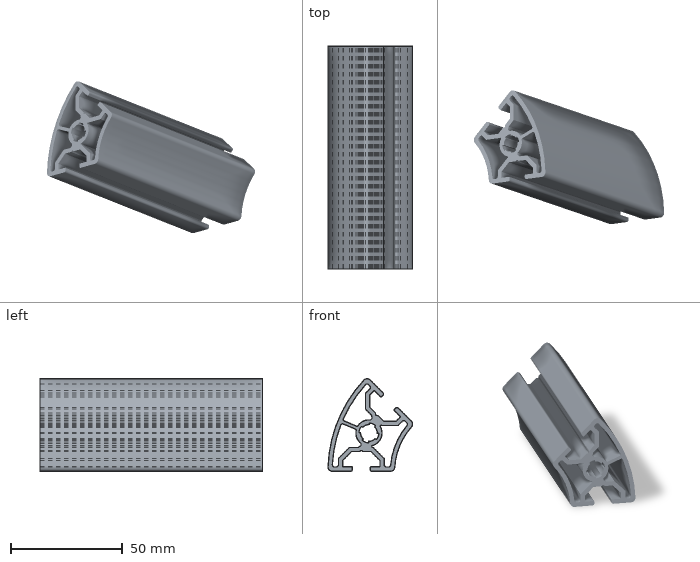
import cadquery as cq
import math


LENGTH = 100.0
SWEEP_ANGLE = 45.0
OUTER_RADIUS = 60.0
SECTION_WIDTH = 30.0
WALL = 2.0
CORNER_RADIUS = 2.0

SLOT_OPENING = 8.0
SLOT_WIDTH = 16.6
SLOT_FLOOR_WIDTH = 8.8
SLOT_DEPTH = 8.8
LIP_THICKNESS = 2.1
LIP_OUTER_RADIUS = 0.8
LIP_INNER_RADIUS = 0.4
GROOVE_WIDTH = 1.6
GROOVE_DEPTH = 0.6

HUB_RADIUS = 5.9
BORE_RADIUS = 3.7
LOBE_RADIUS = 4.4
LOBE_ANGLE = 40.0
LOBE_COUNT = 4
WEB_THICKNESS = 1.5

NECK_LEFT = -0.2
NECK_RIGHT = 4.9
NECK_SHOULDER_WIDTH = 1.2
NECK_SHOULDER_HEIGHT = 0.8

CAVITY_END_RADIUS = 1.0
WEB_ROOT_RADIUS = 0.8
HUB_ROOT_RADIUS = 0.4

HALF_ANGLE = SWEEP_ANGLE / 2
INNER_RADIUS = OUTER_RADIUS - SECTION_WIDTH
MID_RADIUS = (INNER_RADIUS + OUTER_RADIUS) / 2
SLOT_SHOULDER = SLOT_DEPTH - (SLOT_WIDTH - SLOT_FLOOR_WIDTH) / 2
MIRROR_NORMAL = cq.Vector(math.sin(math.radians(HALF_ANGLE)), 0, math.cos(math.radians(HALF_ANGLE)))


def polar(radius, angle):
    """XZ point at a radius, with the angle rising from the bottom face (the -X axis)."""
    return (-radius * math.cos(math.radians(angle)), radius * math.sin(math.radians(angle)))


HUB_CENTER = polar(MID_RADIUS, HALF_ANGLE)


def section():
    return cq.Workplane("XZ")


def prism(outline):
    """Extrude a closed outline over the full length."""
    return outline.extrude(-LENGTH)


def polygon(points):
    return prism(section().polyline(points).close())


def from_slot(points):
    """Shift points given from the slot middle to their place on the bottom face."""
    return [(x - MID_RADIUS, z) for x, z in points]


def mirrored_pair(body):
    """A body and its reflection across the symmetry line."""
    return (body, body.mirror(MIRROR_NORMAL, (0, 0, 0)))


def ring_segment(inner, inner_start, outer, outer_start):
    """Symmetric segment between two arcs, each starting at its own angle."""
    outline = (
        section()
        .moveTo(*polar(inner, inner_start))
        .lineTo(*polar(outer, outer_start))
        .threePointArc(polar(outer, HALF_ANGLE), polar(outer, SWEEP_ANGLE - outer_start))
        .lineTo(*polar(inner, SWEEP_ANGLE - inner_start))
        .threePointArc(polar(inner, HALF_ANGLE), polar(inner, inner_start))
        .close()
    )
    return prism(outline)


def envelope():
    """Solid ring segment with rounded long edges."""
    return ring_segment(INNER_RADIUS, 0, OUTER_RADIUS, 0).edges("|Y").fillet(CORNER_RADIUS)


def slot():
    """T-slot void of the bottom face, with rounded lips and a grooved floor."""
    half_width = SLOT_WIDTH / 2
    half_floor = SLOT_FLOOR_WIDTH / 2
    half_groove = GROOVE_WIDTH / 2
    chamber = polygon(from_slot([
        (-half_width, LIP_THICKNESS),
        (-half_width, SLOT_SHOULDER),
        (-half_floor, SLOT_DEPTH),
        (-half_groove, SLOT_DEPTH),
        (0, SLOT_DEPTH + GROOVE_DEPTH),
        (half_groove, SLOT_DEPTH),
        (half_floor, SLOT_DEPTH),
        (half_width, SLOT_SHOULDER),
        (half_width, LIP_THICKNESS),
    ]))
    opening = polygon(from_slot([
        (-half_width, 0),
        (-half_width, LIP_THICKNESS),
        (half_width, LIP_THICKNESS),
        (half_width, 0),
    ]))
    lip_length = half_width - SLOT_OPENING / 2
    for side, tip in ((-1, ">X"), (1, "<X")):
        lip_middle = side * (half_width - lip_length / 2) - MID_RADIUS
        lip = prism(section().center(lip_middle, LIP_THICKNESS / 2).rect(lip_length, LIP_THICKNESS))
        lip = lip.faces(tip).edges("|Y").edges("<Z").fillet(LIP_OUTER_RADIUS)
        lip = lip.faces(tip).edges("|Y").edges(">Z").fillet(LIP_INNER_RADIUS)
        opening = opening.cut(lip)
    return chamber.union(opening)


def slot_casing():
    """Solid block around the slot: the slot outline grown by the wall, plus the neck to the hub."""
    half_width = SLOT_WIDTH / 2 + WALL
    top = SLOT_DEPTH + WALL
    diagonal_growth = WALL * math.tan(math.radians(45 / 2))
    shoulder = SLOT_SHOULDER + diagonal_growth
    half_top = SLOT_FLOOR_WIDTH / 2 + diagonal_growth
    block = polygon(from_slot([
        (-half_width, 0),
        (-half_width, shoulder),
        (-half_top, top),
        (half_top, top),
        (half_width, shoulder),
        (half_width, 0),
    ]))
    hub_height = HUB_CENTER[1]
    neck = polygon(from_slot([
        (NECK_LEFT - NECK_SHOULDER_WIDTH, top),
        (NECK_LEFT, top + NECK_SHOULDER_HEIGHT),
        (NECK_LEFT, hub_height),
        (HUB_CENTER[0] + MID_RADIUS, hub_height),
        (NECK_RIGHT, top),
    ]))
    return block.union(neck)


def cavities():
    """Voids between the shell, the slot casings, the hub and the web."""
    inner = INNER_RADIUS + WALL
    outer = OUTER_RADIUS - WALL
    inner_start = math.degrees(math.asin(WALL / inner))
    outer_start = math.degrees(math.asin(WALL / outer))
    web_length = outer - MID_RADIUS + WALL
    web = (
        prism(section().center(-MID_RADIUS - web_length / 2, 0).rect(web_length, WEB_THICKNESS))
        .rotate((0, 0, 0), (0, 1, 0), HALF_ANGLE)
    )
    hub = prism(section().center(*HUB_CENTER).circle(HUB_RADIUS))
    voids = ring_segment(inner, inner_start, outer, outer_start).cut(web).cut(hub)
    for casing in mirrored_pair(slot_casing()):
        voids = voids.cut(casing)

    for flat_face in ("<Z", ">(1, 0, 1)"):
        voids = voids.faces(flat_face).edges("|Y").fillet(CAVITY_END_RADIUS)

    for radius, fillet in ((outer, WEB_ROOT_RADIUS), (MID_RADIUS + HUB_RADIUS, HUB_ROOT_RADIUS)):
        web_side = math.degrees(math.asin(WEB_THICKNESS / 2 / radius))
        for angle in (HALF_ANGLE - web_side, HALF_ANGLE + web_side):
            x, z = polar(radius, angle)
            root = cq.NearestToPointSelector((x, LENGTH / 2, z))
            voids = voids.edges("|Y").edges(root).fillet(fillet)
    return voids


def bore():
    """Through bore of the hub with evenly spaced shallow lobes."""
    hole = prism(section().circle(BORE_RADIUS))
    half_lobe = LOBE_ANGLE / 2
    lobe = prism(
        section()
        .lineTo(*polar(LOBE_RADIUS, -half_lobe))
        .threePointArc(polar(LOBE_RADIUS, 0), polar(LOBE_RADIUS, half_lobe))
        .close()
    )
    for index in range(LOBE_COUNT):
        turn = HALF_ANGLE + index * 360 / LOBE_COUNT
        hole = hole.union(lobe.rotate((0, 0, 0), (0, 1, 0), turn))
    return hole.translate((HUB_CENTER[0], 0, HUB_CENTER[1]))


result = envelope().cut(cavities()).cut(bore())
for slot_void in mirrored_pair(slot()):
    result = result.cut(slot_void)